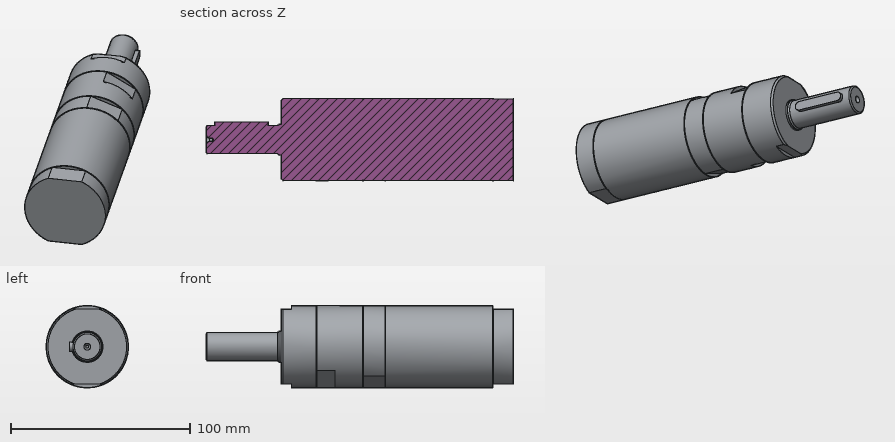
import cadquery as cq
import math


total_length = 171.5
body_diameter = 46.0
body_radius = body_diameter / 2
body_front = 41.8
front_chamfer = 1.0

seam_positions = (61.7, 87.6, 100.0, 160.2)
seam_width = 0.5
seam_depth = 0.25

across_flats = 41.8
cut_clearance = 1.7
front_flat_end = 47.7
pocket_end = 71.9
end_flat_angle = 90.0
pocket_angle = 60.0
ring_angle = 70.0

shaft_radius = 16.0 / 2
shaft_chamfer_length = 0.7
shaft_chamfer_height = 0.9
cone_start = 39.8
cone_end_radius = 17.0 / 2
collar_start = 40.8
collar_radius = 17.5 / 2

centre_mouth_radius = 1.9
centre_drill_radius = 1.6 / 2
countersink_half_angle = 30.0
centre_drill_length = 1.7
drill_point_half_angle = 60.0

key_start = 4.8
key_end = 34.8
key_width = 5.1
key_top = 10.0


def make_body():
    """Turned housing with a chamfered front edge."""
    blank = cq.Workplane("YZ", origin=(body_front, 0, 0)).circle(body_radius)
    return blank.extrude(total_length - body_front).faces("<X").chamfer(front_chamfer)


def make_seam(position):
    """V-shaped ring to cut from the housing surface, centred on the given x."""
    outline = [
        (position - seam_width / 2, body_radius),
        (position, body_radius - seam_depth),
        (position + seam_width / 2, body_radius),
    ]
    ring = cq.Workplane("XY").polyline(outline).close()
    return ring.revolve(360, (0, 0, 0), (1, 0, 0))


def make_flat_pair(start, end, angle):
    """Two opposite blocks to cut, leaving flats whose normal is turned by angle from +Y towards +Z."""
    length = end - start
    flat_distance = across_flats / 2
    block_height = body_radius - flat_distance + cut_clearance
    centre_distance = flat_distance + block_height / 2
    blocks = (
        cq.Workplane("XY", origin=((start + end) / 2, 0, 0))
        .pushPoints([(0, centre_distance), (0, -centre_distance)])
        .box(length, block_height, body_diameter)
    )
    return blocks.rotate((0, 0, 0), (1, 0, 0), angle)


def make_shaft():
    """Stepped shaft with a chamfered tip, a short cone and a collar against the housing."""
    outline = [
        (0, 0),
        (0, shaft_radius - shaft_chamfer_height),
        (shaft_chamfer_length, shaft_radius),
        (cone_start, shaft_radius),
        (collar_start, cone_end_radius),
        (collar_start, collar_radius),
        (body_front, collar_radius),
        (body_front, 0),
    ]
    return cq.Workplane("XY").polyline(outline).close().revolve(360, (0, 0, 0), (1, 0, 0))


def make_key():
    """Round-ended key standing out of the shaft towards +Y."""
    key = cq.Workplane("XZ", origin=((key_start + key_end) / 2, 0, 0))
    return key.slot2D(key_end - key_start, key_width).extrude(-key_top)


def make_centre_hole():
    """Countersunk centre drilling with a pointed bottom in the shaft tip."""
    cone_depth = (centre_mouth_radius - centre_drill_radius) / math.tan(math.radians(countersink_half_angle))
    hole_depth = cone_depth + centre_drill_length
    point_depth = centre_drill_radius / math.tan(math.radians(drill_point_half_angle))
    outline = [
        (0, 0),
        (0, centre_mouth_radius),
        (cone_depth, centre_drill_radius),
        (hole_depth, centre_drill_radius),
        (hole_depth + point_depth, 0),
    ]
    return cq.Workplane("XY").polyline(outline).close().revolve(360, (0, 0, 0), (1, 0, 0))


first_seam, ring_start, ring_end, rear_flat_start = seam_positions

body = make_body()
for seam_position in seam_positions:
    body = body.cut(make_seam(seam_position))

body = body.cut(make_flat_pair(body_front, front_flat_end, end_flat_angle))
body = body.cut(make_flat_pair(first_seam + seam_width / 2, pocket_end, pocket_angle))
body = body.cut(make_flat_pair(ring_start + seam_width / 2, ring_end - seam_width / 2, ring_angle))
body = body.cut(make_flat_pair(rear_flat_start, total_length, end_flat_angle))

result = body.union(make_shaft()).union(make_key()).cut(make_centre_hole())